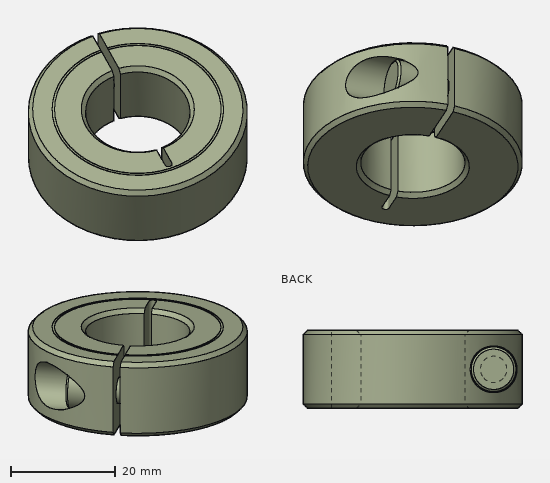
import cadquery as cq

outer_diameter = 42.0
outer_radius = outer_diameter / 2
bore_radius = 10.0
width = 15.0
edge_chamfer = 0.85

groove_outer_radius = 16.42
groove_inner_radius = 15.95
groove_depth = 0.1

slit_width = 1.4
slit_end_x = 15.55

screw_x = -15.5
shank_radius = 2.5
head_radius = 4.3
head_length = 5.0
head_top_y = 10.25
head_chamfer = 0.4
counterbore_radius = 4.5
screw_tip_y = -7.0
head_seat_y = head_top_y - head_length


def screw_cylinder(radius, start_y, end_y):
    """Cylinder on the screw axis from start_y up to end_y."""
    return (
        cq.Workplane("XZ", origin=(screw_x, start_y, 0))
        .circle(radius)
        .extrude(-(end_y - start_y))
    )


def make_ring():
    """Plain ring with chamfered outer and bore edges."""
    return (
        cq.Workplane("XY", origin=(0, 0, -width / 2))
        .circle(outer_radius)
        .circle(bore_radius)
        .extrude(width)
        .faces("<Z or >Z")
        .edges()
        .chamfer(edge_chamfer)
    )


def make_groove():
    """Cutter for the ring groove in the top face."""
    return (
        cq.Workplane("XY", origin=(0, 0, width / 2 - groove_depth))
        .circle(groove_outer_radius)
        .circle(groove_inner_radius)
        .extrude(groove_depth)
    )


def make_slit():
    """Cutter for the slit, with its round end on the +X side."""
    half_slit = slit_width / 2
    arc_start_x = slit_end_x - half_slit
    return (
        cq.Workplane("XY", origin=(0, 0, -width / 2))
        .moveTo(-outer_radius, -half_slit)
        .lineTo(arc_start_x, -half_slit)
        .threePointArc((slit_end_x, 0), (arc_start_x, half_slit))
        .lineTo(-outer_radius, half_slit)
        .close()
        .extrude(width)
    )


def make_collar():
    """Slit collar with a face groove and the stepped screw hole."""
    shank_hole = screw_cylinder(shank_radius, screw_tip_y, head_seat_y)
    counterbore = screw_cylinder(counterbore_radius, head_seat_y, outer_radius)
    return make_ring().cut(make_slit()).cut(make_groove()).cut(shank_hole).cut(counterbore)


def make_screw():
    """Clamp screw with a cylindrical head, chamfered at its top edge."""
    head = screw_cylinder(head_radius, head_seat_y, head_top_y)
    head = head.faces(">Y").edges().chamfer(head_chamfer)
    return head.union(screw_cylinder(shank_radius, screw_tip_y, head_seat_y))


collar = make_collar()
screw = make_screw()

result = cq.Compound.makeCompound([collar.solids().val(), screw.solids().val()])